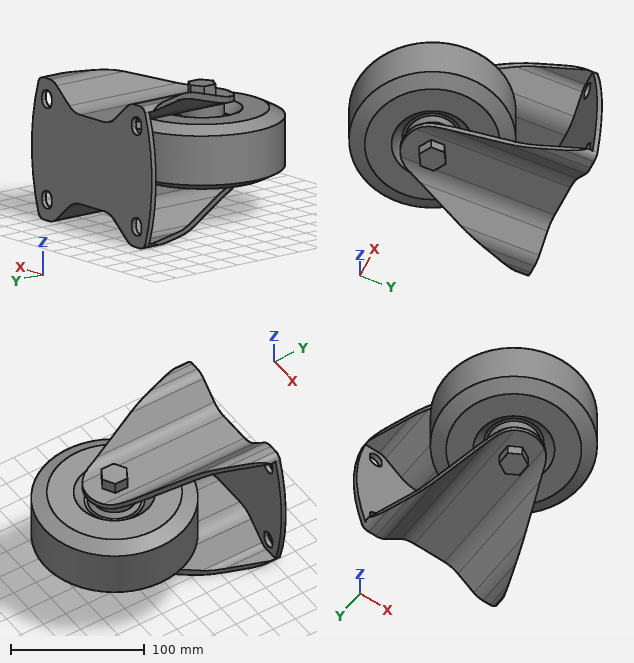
import cadquery as cq
import math


overall_length = 170.0

wheel_radius = 125.0 / 2
wheel_face_radius = 50.7
wheel_half_width = 25.0
tread_half_width = 19.0
recess_radius = 30.6
recess_floor_radius = 22.6
recess_depth = 8.2
flare_radius = 20.4
flare_height = 3.2
hub_radius = 33.8 / 2

sheet = 4.0
plate_back = overall_length - wheel_radius
fork_half_height = 110.0 / 2
cheek_half_height = 34.5
cheek_half_width = 14.0
bend_angle = math.radians(40.6)
valley_radius = 19.2
crest_radius = 13.1
crest_x = 49.6
fork_half_width = 62.2
rim_round_start = 56.1
rim_z = fork_half_height - sheet

fork_nose_radius = 24.1
taper_start_y = 99.3

plate_half_width = 70.0
slot_x = 52.4
slot_z = 39.0
slot_width = 11.2
slot_length = 13.8

head_across_flats = 18.9
head_end = 44.0


def make_wheel():
    """Revolved wheel with chamfered tread and a conical recess around a flared hub on each face."""
    floor = wheel_half_width - recess_depth
    hub_end = cheek_half_height - sheet
    upper = [
        (wheel_radius, tread_half_width),
        (wheel_face_radius, wheel_half_width),
        (recess_radius, wheel_half_width),
        (recess_floor_radius, floor),
        (flare_radius, floor),
        (hub_radius, floor + flare_height),
        (hub_radius, hub_end),
        (0, hub_end),
    ]
    lower = [(r, -z) for r, z in reversed(upper)]
    profile = cq.Workplane("XZ").polyline(upper + lower).close()
    return profile.revolve(360, (0, 0, 0), (0, 1, 0))


def bend_point(center, radius, angle):
    """Point on a bend, with the angle measured from the +Z direction toward -X."""
    return (center[0] - radius * math.sin(angle), center[1] + radius * math.cos(angle))


def mirrored(quarter):
    """Body made of a quarter and its reflections in the YZ and XY planes."""
    half = quarter.union(quarter.mirror("YZ"))
    return half.union(half.mirror("XY"))


def section_to_surface(depth):
    """Quarter section from the center out to a cheek surface lying depth below the outer one.

    From the center: flat cheek, valley bend, slope, crest bend and flat crest.
    """
    valley_center = (cheek_half_width, cheek_half_height + valley_radius)
    crest_center = (crest_x, fork_half_height - crest_radius)
    valley = valley_radius + depth
    crest = crest_radius - depth
    half_bend = bend_angle / 2
    return (
        cq.Workplane("XZ", origin=(0, plate_back, 0))
        .lineTo(0, cheek_half_height - depth)
        .lineTo(cheek_half_width, cheek_half_height - depth)
        .threePointArc(
            bend_point(valley_center, valley, math.pi + half_bend),
            bend_point(valley_center, valley, math.pi + bend_angle),
        )
        .lineTo(*bend_point(crest_center, crest, bend_angle))
        .threePointArc(
            bend_point(crest_center, crest, half_bend),
            (crest_x, fork_half_height - depth),
        )
        .lineTo(rim_round_start, fork_half_height - depth)
    )


def outer_section():
    """Section out to the outer surface, whose rim rounds down to the inner surface."""
    return (
        section_to_surface(0)
        .tangentArcPoint((fork_half_width, rim_z), relative=False)
        .lineTo(fork_half_width, 0)
        .close()
    )


def inner_section():
    """Section out to the inner surface, flat up to the rim."""
    return section_to_surface(sheet).lineTo(fork_half_width, rim_z).lineTo(fork_half_width, 0).close()


def fork_outline():
    """Prism over the tapered side outline, ending in a round nose about the axle."""
    corner_distance = math.hypot(fork_half_width, taper_start_y)
    corner_angle = math.atan2(taper_start_y, fork_half_width)
    tangent_angle = corner_angle - math.acos(fork_nose_radius / corner_distance)
    tangent_x = fork_nose_radius * math.cos(tangent_angle)
    tangent_y = fork_nose_radius * math.sin(tangent_angle)
    return (
        cq.Workplane("XY")
        .moveTo(-fork_half_width, plate_back)
        .lineTo(-fork_half_width, taper_start_y)
        .lineTo(-tangent_x, tangent_y)
        .threePointArc((0, -fork_nose_radius), (tangent_x, tangent_y))
        .lineTo(fork_half_width, taper_start_y)
        .lineTo(fork_half_width, plate_back)
        .close()
        .extrude(fork_half_height, both=True)
    )


def make_fork():
    """Both bent cheeks, trimmed to the side outline."""
    length = plate_back + fork_nose_radius
    cheek_quarter = outer_section().extrude(length).cut(inner_section().extrude(length))
    return mirrored(cheek_quarter).intersect(fork_outline())


def make_plate():
    """Mounting plate filling the waisted space between the cheeks, with bowed ends and four slots."""
    bowed_end = (
        cq.Workplane("XZ", origin=(0, plate_back, 0))
        .moveTo(fork_half_width, rim_z)
        .threePointArc((plate_half_width, 0), (fork_half_width, -rim_z))
        .close()
        .extrude(sheet)
    )
    slots = (
        cq.Workplane("XZ", origin=(0, plate_back, 0))
        .rarray(2 * slot_x, 2 * slot_z, 2, 2)
        .slot2D(slot_length, slot_width, 90)
        .extrude(sheet)
    )
    middle = mirrored(inner_section().extrude(sheet))
    return middle.union(bowed_end).union(bowed_end.mirror("YZ")).cut(slots)


def make_bolt():
    """Axle bolt with a hexagon at both ends, corners pointing along Y."""
    return (
        cq.Workplane("XY")
        .polygon(6, head_across_flats, circumscribed=True)
        .extrude(head_end, both=True)
    )


result = make_wheel().union(make_bolt()).union(make_fork()).union(make_plate())